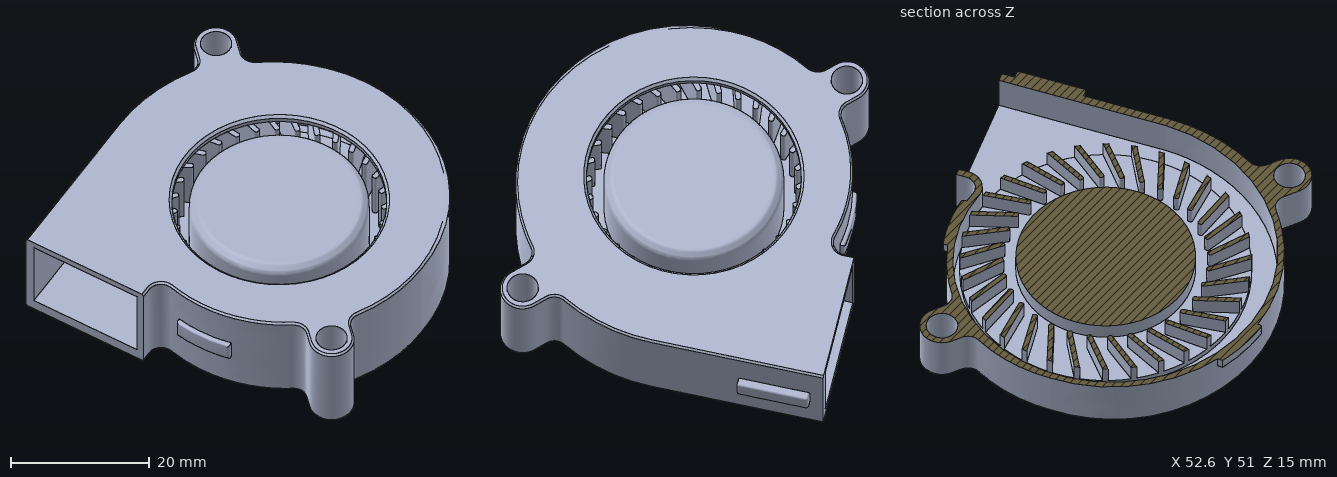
import cadquery as cq
import math


SCROLL_RADIUS_AT_X = 24.1
SCROLL_GROWTH = 0.0156
SCROLL_START = -109
HOUSING_HEIGHT = 15
FLOOR = 1.9
LID = 1.1
WALL = 1
EDGE_CHAMFER = 0.3

OUTLET_LEFT = -27.3
OUTLET_FRONT = -25.45
CAVITY_START = -113.2
CORNER_RADIUS = 2

EARS = [((-23.06, 20.02), 135), ((19.98, -18.02), -45)]
EAR_RADIUS = 3.25
EAR_REACH = 8
EAR_HOLE_DIAMETER = 4.5

INLET_DIAMETER = 31
INLET_CHAMFER = 0.4

HUB_DIAMETER = 26
HUB_CHAMFER = 1.1
HUB_FILLET = 1
DISC_DIAMETER = 42.17
DISC_BOTTOM = 4
DISC_TOP = 5
BLADE_COUNT = 32
BLADE_TOP = HOUSING_HEIGHT - LID - 1
BLADE_INNER_RADIUS = 14.8
BLADE_THICKNESS = 0.8
BLADE_ROUNDING = 0.3
BLADE_INNER_ANGLE = -1.4
BLADE_SWEEP = 9.4

CLIP_HEIGHT = 3
CLIP_BOTTOM = (HOUSING_HEIGHT - CLIP_HEIGHT) / 2
CLIP_THICKNESS = 0.7
CLIP_FILLET = 0.4
SIDE_CLIP_THICKNESS = 1.2
SIDE_CLIP_ENDS = (-23.5, -12.9)
FRONT_CLIP_ENDS = (-3.2, 5.6)
BACK_CLIP_ENDS = (4.6, 12.75)


def polar(radius, angle):
    """Point at a radius and an angle in degrees around the fan axis."""
    return (radius * math.cos(math.radians(angle)), radius * math.sin(math.radians(angle)))


def scroll_point(angle, offset=0.0):
    """Point on the scroll, moved outward by offset."""
    return polar(SCROLL_RADIUS_AT_X + SCROLL_GROWTH * angle + offset, angle)


def scroll_points(start, end, offset=0.0, spans=16):
    """Evenly spaced points along the scroll."""
    step = (end - start) / spans
    return [scroll_point(start + i * step, offset) for i in range(spans + 1)]


def vertical_edge_near(body, point):
    """The vertical edge of the body closest to a point in plan."""
    target = (point[0], point[1], HOUSING_HEIGHT / 2)
    return body.edges(cq.selectors.NearestToPointSelector(target))


def scroll_body():
    """Solid scroll with its outlet; past each ear the wall is round about the axis for a stretch."""
    back_ear, front_ear = [math.degrees(math.atan2(y, x)) for (x, y), _ in EARS]
    front_wall = scroll_points(SCROLL_START, front_ear)
    back_wall = scroll_points(0, back_ear)
    return (
        cq.Workplane("XY")
        .moveTo(*front_wall[0])
        .spline(front_wall[1:], includeCurrent=True)
        .lineTo(*polar(SCROLL_RADIUS_AT_X, front_ear))
        .threePointArc(polar(SCROLL_RADIUS_AT_X, front_ear / 2), back_wall[0])
        .spline(back_wall[1:], includeCurrent=True)
        .lineTo(*polar(-OUTLET_LEFT, back_ear))
        .threePointArc(polar(-OUTLET_LEFT, (back_ear + 180) / 2), (OUTLET_LEFT, 0))
        .lineTo(OUTLET_LEFT, OUTLET_FRONT)
        .lineTo(front_wall[0][0], OUTLET_FRONT)
        .close()
        .extrude(HOUSING_HEIGHT)
    )


def ear(center, direction):
    """Round-ended ear reaching back into the scroll."""
    return (
        cq.Workplane("XY")
        .center(*center)
        .circle(EAR_RADIUS)
        .extrude(HOUSING_HEIGHT)
        .union(
            cq.Workplane("XY")
            .center(*center)
            .transformed(rotate=(0, 0, direction))
            .center(-EAR_REACH / 2, 0)
            .rect(EAR_REACH, 2 * EAR_RADIUS)
            .extrude(HOUSING_HEIGHT)
        )
    )


def ear_corners(center, direction):
    """Points in plan near which the two flanks of an ear meet the scroll."""
    out_x, out_y = polar(1, direction)
    scroll_radius = math.hypot(*scroll_point(direction))
    middle = -out_y * center[0] + out_x * center[1]
    corners = []
    for across in (middle - EAR_RADIUS, middle + EAR_RADIUS):
        along = math.sqrt(scroll_radius**2 - across**2)
        corners.append((along * out_x - across * out_y, along * out_y + across * out_x))
    return corners


def housing_outside():
    """Scroll and ears with rounded inner corners and chamfered rims; the outlet's front stays sharp."""
    body = scroll_body()
    corners = [scroll_point(SCROLL_START)]
    for center, direction in EARS:
        body = body.union(ear(center, direction))
        corners += ear_corners(center, direction)
    for corner in corners:
        body = vertical_edge_near(body, corner).fillet(CORNER_RADIUS)
    return body.faces("<Z or >Z").edges("not <Y").chamfer(EDGE_CHAMFER)


def cavity():
    """Air space inside the housing, running out through the outlet."""
    points = scroll_points(CAVITY_START, 180, -WALL)
    start_x = points[0][0]
    end_x = points[-1][0]
    space = (
        cq.Workplane("XY", origin=(0, 0, FLOOR))
        .moveTo(*points[0])
        .spline(points[1:], includeCurrent=True)
        .lineTo(end_x, OUTLET_FRONT)
        .lineTo(start_x, OUTLET_FRONT)
        .close()
        .extrude(HOUSING_HEIGHT - LID - FLOOR)
    )
    return vertical_edge_near(space, points[0]).fillet(CORNER_RADIUS + WALL)


def inlet():
    """Round opening in the lid with a chamfered rim."""
    radius = INLET_DIAMETER / 2
    lid_bottom = HOUSING_HEIGHT - LID
    return (
        cq.Workplane("XZ")
        .moveTo(0, lid_bottom)
        .lineTo(radius, lid_bottom)
        .lineTo(radius, HOUSING_HEIGHT - INLET_CHAMFER)
        .lineTo(radius + INLET_CHAMFER, HOUSING_HEIGHT)
        .lineTo(0, HOUSING_HEIGHT)
        .close()
        .revolve(360, (0, 0, 0), (0, 1, 0))
    )


def blade():
    """Blade standing on the disc, swept back from the radial direction, with a rounded inner edge."""
    inner_x, inner_y = polar(BLADE_INNER_RADIUS, BLADE_INNER_ANGLE)
    outer_x, outer_y = polar(DISC_DIAMETER / 2, BLADE_INNER_ANGLE + BLADE_SWEEP)
    heading = math.degrees(math.atan2(outer_y - inner_y, outer_x - inner_x))
    length = math.hypot(outer_x - inner_x, outer_y - inner_y) + BLADE_THICKNESS
    height = BLADE_TOP - DISC_TOP
    plate = (
        cq.Workplane("XY")
        .center(length / 2, 0)
        .rect(length, BLADE_THICKNESS)
        .extrude(height)
        .edges("|Z and <X")
        .fillet(BLADE_ROUNDING)
        .rotate((0, 0, 0), (0, 0, 1), heading)
        .translate((inner_x, inner_y, DISC_TOP))
    )
    envelope = cq.Workplane("XY", origin=(0, 0, DISC_TOP)).circle(DISC_DIAMETER / 2).extrude(height)
    return plate.intersect(envelope)


def impeller():
    """Hub standing on the floor, with a disc that carries a ring of blades."""
    hub = cq.Workplane("XY").circle(HUB_DIAMETER / 2).extrude(HOUSING_HEIGHT)
    hub = hub.faces(">Z").edges().chamfer(HUB_CHAMFER)
    chamfer_rims = cq.selectors.BoxSelector(
        (-HUB_DIAMETER, -HUB_DIAMETER, HOUSING_HEIGHT / 2),
        (HUB_DIAMETER, HUB_DIAMETER, HOUSING_HEIGHT + HUB_CHAMFER),
    )
    hub = hub.edges("%CIRCLE").edges(chamfer_rims).fillet(HUB_FILLET)
    disc = cq.Workplane("XY", origin=(0, 0, DISC_BOTTOM)).circle(DISC_DIAMETER / 2)
    wheel = hub.union(disc.extrude(DISC_TOP - DISC_BOTTOM))
    first_blade = blade().val()
    pitch = 360 / BLADE_COUNT
    blades = [first_blade.rotate((0, 0, 0), (0, 0, 1), i * pitch) for i in range(BLADE_COUNT)]
    return wheel.union(cq.Workplane("XY").newObject([cq.Compound.makeCompound(blades)]))


def scroll_clip(ends, start, end, outward):
    """Clip between two X positions, following the scroll between two angles that reach past them."""
    left, right = ends
    outer = scroll_points(start, end, CLIP_THICKNESS)
    inner = scroll_points(end, start, -WALL / 2)
    band = (
        cq.Workplane("XY", origin=(0, 0, CLIP_BOTTOM))
        .moveTo(*outer[0])
        .spline(outer[1:], includeCurrent=True)
        .lineTo(*inner[0])
        .spline(inner[1:], includeCurrent=True)
        .close()
        .extrude(CLIP_HEIGHT)
    )
    depth = 4 * SCROLL_RADIUS_AT_X
    slab = cq.Workplane("XY").center((left + right) / 2, 0).rect(right - left, depth).extrude(HOUSING_HEIGHT)
    return band.intersect(slab).faces(outward).edges().fillet(CLIP_FILLET)


def side_clip():
    """Straight clip on the left wall of the outlet, with rounded outer edges."""
    y0, y1 = SIDE_CLIP_ENDS
    depth = SIDE_CLIP_THICKNESS + WALL / 2
    body = cq.Workplane("XY").box(depth, y1 - y0, CLIP_HEIGHT, centered=(False, False, False))
    body = body.translate((OUTLET_LEFT - SIDE_CLIP_THICKNESS, y0, CLIP_BOTTOM))
    return body.edges("<X or (|X)").fillet(CLIP_FILLET)


housing = housing_outside()
front_clip = scroll_clip(FRONT_CLIP_ENDS, -110, -60, "<Y")
back_clip = scroll_clip(BACK_CLIP_ENDS, 50, 90, ">Y")
for clip in (side_clip(), front_clip, back_clip):
    housing = housing.union(clip)
housing = housing.cut(cavity()).cut(inlet())
for center, direction in EARS:
    hole = cq.Workplane("XY").center(*center).circle(EAR_HOLE_DIAMETER / 2).extrude(HOUSING_HEIGHT)
    housing = housing.cut(hole)

result = housing.union(impeller())